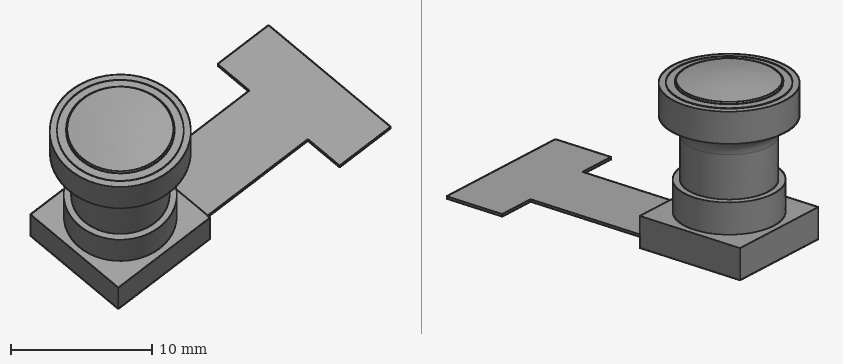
import cadquery as cq

ribbon_end_y = 20.5
ribbon_head_width = 12.5
ribbon_head_length = 5.0
ribbon_stem_width = 6.0
ribbon_thickness = 0.2

base_side = 9.0
base_top = 2.5
collar_radius = 4.0
collar_top = 5.0
barrel_radius = 3.5
cap_radius = 5.0
cap_bottom = 10.0
cap_top = 12.5
flare_radius = cap_radius - barrel_radius

ring_radius = 4.5
ring_top = cap_top + 0.05
lens_radius = 3.85
lens_bevel = 0.1
lens_edge_top = 12.7
lens_bevel_bottom = lens_edge_top - lens_bevel
dome_radius = lens_radius - lens_bevel
dome_top = 13.08


def make_ribbon():
    stem_length = ribbon_end_y - ribbon_head_length
    stem = cq.Workplane("XY").box(
        ribbon_stem_width, stem_length, ribbon_thickness, centered=(True, False, False)
    )
    head = (
        cq.Workplane("XY", origin=(0, stem_length, 0))
        .box(ribbon_head_width, ribbon_head_length, ribbon_thickness, centered=(True, False, False))
    )
    return stem.union(head)


def make_base():
    return cq.Workplane("XY").box(base_side, base_side, base_top, centered=(True, True, False))


def make_round_body():
    dome_height = dome_top - lens_edge_top
    sphere_radius = (dome_radius**2 + dome_height**2) / (2 * dome_height)
    dome_mid_radius = dome_radius / 2
    dome_mid_z = dome_top - sphere_radius + (sphere_radius**2 - dome_mid_radius**2) ** 0.5

    profile = (
        cq.Workplane("XZ")
        .moveTo(0, base_top)
        .lineTo(collar_radius, base_top)
        .lineTo(collar_radius, collar_top)
        .lineTo(barrel_radius, collar_top)
        .lineTo(barrel_radius, cap_bottom - flare_radius)
        .radiusArc((cap_radius, cap_bottom), flare_radius)
        .lineTo(cap_radius, cap_top)
        .lineTo(ring_radius, cap_top)
        .lineTo(ring_radius, ring_top)
        .lineTo(lens_radius, ring_top)
        .lineTo(lens_radius, lens_bevel_bottom)
        .lineTo(dome_radius, lens_edge_top)
        .threePointArc((dome_mid_radius, dome_mid_z), (0, dome_top))
        .close()
    )
    return profile.revolve(360, (0, 0, 0), (0, 1, 0))


result = make_base().union(make_round_body()).union(make_ribbon())